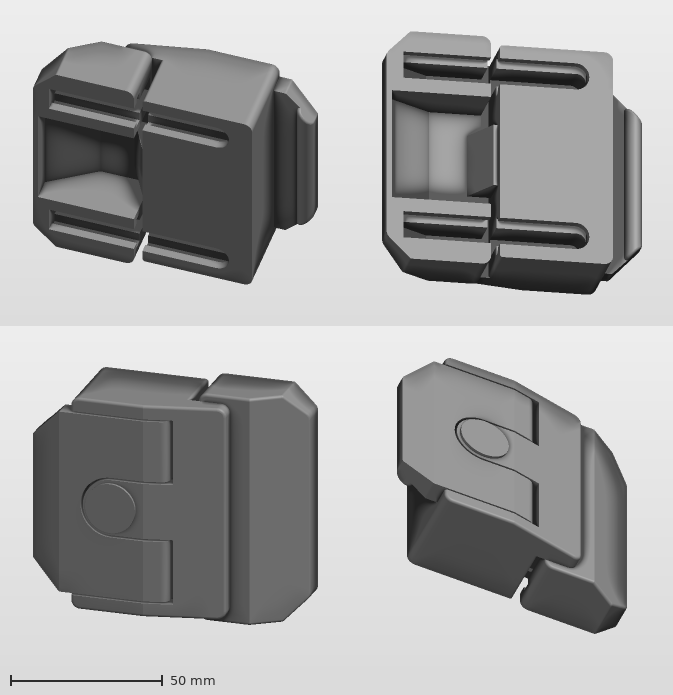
import cadquery as cq
import math


EDGE_RADIUS = 1.0
CORNER_RADIUS = 3.0

PICK_REACH = 0.1
FACES_BACK = 0.1

KEEPER_LENGTH = 35.0
KEEPER_HEIGHT = 80.0
KEEPER_DEPTH = 20.0
KEEPER_LEFT_DEPTH = 8.5
KEEPER_RIDGE_X = 17.3
KEEPER_CORNER_CUT = 8.0

WINDOW_LEFT = 1.8
WINDOW_HEIGHT = 37.6
WINDOW_FLOOR_WALL = 2.2
WINDOW_SLOPE_WALL = 2.0

SLOT_OFFSET = 28.1
SLOT_LEFT = 5.6
SLOT_END = 68.0
MOUTH_WIDTH = 9.2
CAVITY_WIDTH = 13.0
CAVITY_START_DEPTH = 3.0
CAVITY_END_DEPTH = 6.0
NARROW_WIDTH = 6.3
SLOT_FLOOR_WALL = 3.0
SLOT_SLOPE_WALL = 2.0

HOUSING_FRONT_X = 38.0
HOUSING_END_X = 76.0
HOUSING_HEIGHT = 74.5
HOUSING_DEPTH = 30.0
OVERHANG_LEFT = 24.0
OVERHANG_LEFT_DEPTH = 24.5
HOUSING_RIDGE_X = 50.9

BUTTON_X = 62.0
BUTTON_RADIUS = 8.6
BUTTON_RISE = 1.0
ISLAND_RADIUS = 9.7
ISLAND_CLEARANCE = 0.8

SLIDER_LEFT = 42.8
SLIDER_END = 90.0
SLIDER_HEIGHT = 63.6
SLIDER_THICKNESS = 6.9
SLIDER_LEFT_RADIUS = 3.0
PULL_TAPER_X = 80.0
PULL_END_DROP = 3.0
LIP_RADIUS = 3.0
LIP_EDGE_RADIUS = 0.8
POCKET_LEFT = 41.1
POCKET_CLEARANCE = 0.7

BOLT_HEIGHT = 21.25
BOLT_LEFT = 30.0
BOLT_BEVEL_END = 36.6
BOLT_FRONT = 4.0
BOLT_BACK = 16.0
BOLT_END = 50.1
CROSSBAR_HEIGHT = 31.5

SLIDER_FRONT = HOUSING_DEPTH - SLIDER_THICKNESS
POCKET_HEIGHT = SLIDER_HEIGHT + 2 * POCKET_CLEARANCE
KEEPER_SLOPE = (KEEPER_DEPTH - KEEPER_LEFT_DEPTH) / KEEPER_RIDGE_X
HOUSING_SLOPE = (HOUSING_DEPTH - OVERHANG_LEFT_DEPTH) / (HOUSING_RIDGE_X - OVERHANG_LEFT)


def box(x_range, y_range, height, z_center=0):
    """Block between X limits and Y limits, centred on one Z place."""
    size_x = x_range[1] - x_range[0]
    size_y = y_range[1] - y_range[0]
    block = cq.Workplane("XY").box(size_x, size_y, height, centered=(False, False, True))
    return block.translate((x_range[0], y_range[0], z_center))


def extrude_profile(points, height, z_center=0):
    """Solid of constant X-Y profile, centred on one Z place."""
    solid = cq.Workplane("XY").polyline(points).close().extrude(height / 2, both=True)
    return solid.translate((0, 0, z_center))


def round_ended_bar(x_range, y_range, width, z_center=0):
    """Bar along X whose right end is a half circle in the X-Z plane."""
    radius = width / 2
    arc_x = x_range[1] - radius
    return (
        cq.Workplane("XZ", origin=(0, y_range[1], z_center))
        .moveTo(x_range[0], -radius)
        .lineTo(arc_x, -radius)
        .threePointArc((x_range[1], 0), (arc_x, radius))
        .lineTo(x_range[0], radius)
        .close()
        .extrude(y_range[1] - y_range[0])
    )


def keeper_recess(left, floor_wall, slope_wall, height, z_center=0):
    """Recess open at the front and the right, leaving a wall under the back face and the slope."""
    floor_y = KEEPER_DEPTH - floor_wall
    slope_drop = slope_wall * math.hypot(1, KEEPER_SLOPE)
    left_y = KEEPER_LEFT_DEPTH + KEEPER_SLOPE * left - slope_drop
    ridge_x = left + (floor_y - left_y) / KEEPER_SLOPE
    points = [(left, 0), (left, left_y), (ridge_x, floor_y), (KEEPER_LENGTH, floor_y), (KEEPER_LENGTH, 0)]
    return extrude_profile(points, height, z_center)


def cut_slot_mouth_and_cavity(body):
    """Cut the front stages of both mounting slots: the open mouth and the wider cavity behind it."""
    for z in (-SLOT_OFFSET, SLOT_OFFSET):
        body = body.cut(round_ended_bar((SLOT_LEFT, SLOT_END), (0, CAVITY_START_DEPTH), MOUTH_WIDTH, z))
        body = body.cut(box((SLOT_LEFT, SLOT_END), (CAVITY_START_DEPTH, CAVITY_END_DEPTH), CAVITY_WIDTH, z))
    return body


def corner_cuts(outer_x, inner_x, height, depth):
    """Pair of wedges that cut the upper and lower corners at 45 degrees."""
    top = height / 2
    low = top - abs(inner_x - outer_x)
    upper = (
        cq.Workplane("XZ")
        .polyline([(outer_x, low), (outer_x, top), (inner_x, top)])
        .close()
        .extrude(-depth)
    )
    return upper.add(upper.mirror("XY")).combine()


def round_cross_edges(body, x, half_height, radius):
    """Round the two edges along Y that lie at one X place, above and below the middle."""
    edges = body.edges("|Y").filter(
        lambda edge: abs(edge.Center().x - x) < PICK_REACH
        and abs(abs(edge.Center().z) - half_height) < PICK_REACH
    )
    return edges.fillet(radius)


def round_back_rim(body, ridge_x):
    """Round the outer rim of the back face and the slope, leaving the ridge between them sharp."""
    back_faces = body.faces("#Z").filter(lambda face: face.normalAt().y > FACES_BACK)
    rim = back_faces.edges().filter(
        lambda edge: abs(edge.Center().x - ridge_x) > PICK_REACH or abs(edge.Center().z) > PICK_REACH
    )
    return rim.fillet(EDGE_RADIUS)


def make_keeper():
    """Hollow strike that catches the bolt, with cut left corners."""
    profile = [
        (0, 0),
        (0, KEEPER_LEFT_DEPTH),
        (KEEPER_RIDGE_X, KEEPER_DEPTH),
        (KEEPER_LENGTH, KEEPER_DEPTH),
        (KEEPER_LENGTH, 0),
    ]
    top = KEEPER_HEIGHT / 2
    keeper = extrude_profile(profile, KEEPER_HEIGHT)
    keeper = keeper.cut(corner_cuts(0, KEEPER_CORNER_CUT, KEEPER_HEIGHT, KEEPER_DEPTH))
    keeper = round_cross_edges(keeper, KEEPER_LENGTH, top, CORNER_RADIUS)
    keeper = round_cross_edges(keeper, 0, top - KEEPER_CORNER_CUT, CORNER_RADIUS)
    keeper = round_cross_edges(keeper, KEEPER_CORNER_CUT, top, EDGE_RADIUS)
    keeper = round_back_rim(keeper, KEEPER_RIDGE_X)

    keeper = keeper.cut(keeper_recess(WINDOW_LEFT, WINDOW_FLOOR_WALL, WINDOW_SLOPE_WALL, WINDOW_HEIGHT))
    for z in (-SLOT_OFFSET, SLOT_OFFSET):
        keeper = keeper.cut(keeper_recess(SLOT_LEFT, SLOT_FLOOR_WALL, SLOT_SLOPE_WALL, NARROW_WIDTH, z))
    return cut_slot_mouth_and_cavity(keeper)


def slider_plate():
    """Plate that lies flush in the back of the housing and ends in a tapered pull."""
    left_y = HOUSING_DEPTH - HOUSING_SLOPE * (HOUSING_RIDGE_X - SLIDER_LEFT)
    profile = [
        (SLIDER_LEFT, SLIDER_FRONT),
        (SLIDER_LEFT, left_y),
        (HOUSING_RIDGE_X, HOUSING_DEPTH),
        (PULL_TAPER_X, HOUSING_DEPTH),
        (SLIDER_END, HOUSING_DEPTH - PULL_END_DROP),
        (SLIDER_END, SLIDER_FRONT),
    ]
    plate = extrude_profile(profile, SLIDER_HEIGHT)
    return plate.faces("<X").edges(">Y").fillet(SLIDER_LEFT_RADIUS)


def island(radius):
    """Round-ended bar around the button axis, as deep as the slider."""
    return round_ended_bar((0, BUTTON_X + radius), (SLIDER_FRONT, HOUSING_DEPTH), 2 * radius)


def bolt():
    """Bevelled tongue and the crossbar behind it, which reaches back to the slider plate."""
    profile = [
        (BOLT_LEFT, BOLT_BACK),
        (BOLT_BEVEL_END, BOLT_FRONT),
        (BOLT_END, BOLT_FRONT),
        (BOLT_END, BOLT_BACK),
    ]
    tongue = extrude_profile(profile, BOLT_HEIGHT)
    crossbar = box((SLIDER_LEFT, BOLT_END), (BOLT_BACK, SLIDER_FRONT), CROSSBAR_HEIGHT)
    return tongue.union(crossbar)


def pull_lip():
    """Half-round finger lip in front of the pull end, with its two ends cut off and rounded."""
    lip_x = SLIDER_END - LIP_RADIUS
    lip_left = SLIDER_END - 2 * LIP_RADIUS
    upright = (
        cq.Workplane("XY", origin=(0, 0, -SLIDER_HEIGHT / 2))
        .moveTo(lip_left, HOUSING_DEPTH)
        .lineTo(lip_left, SLIDER_FRONT)
        .threePointArc((lip_x, SLIDER_FRONT - LIP_RADIUS), (SLIDER_END, SLIDER_FRONT))
        .lineTo(SLIDER_END, HOUSING_DEPTH)
        .close()
        .extrude(SLIDER_HEIGHT)
    )
    upright = upright.cut(corner_cuts(SLIDER_END, PULL_TAPER_X, SLIDER_HEIGHT, HOUSING_DEPTH))
    end_rims = upright.edges("not(|Z or >Y)")
    upright = end_rims.fillet(LIP_EDGE_RADIUS)
    return upright.intersect(box((0, SLIDER_END), (0, SLIDER_FRONT), SLIDER_HEIGHT))


def make_slider():
    """Sliding plate with its pull lip and bolt as one body."""
    top = SLIDER_HEIGHT / 2
    pull_cut = SLIDER_END - PULL_TAPER_X
    slider = slider_plate().cut(corner_cuts(SLIDER_END, PULL_TAPER_X, SLIDER_HEIGHT, HOUSING_DEPTH))
    slider = round_cross_edges(slider, PULL_TAPER_X, top, EDGE_RADIUS)
    slider = round_cross_edges(slider, SLIDER_END, top - pull_cut, LIP_EDGE_RADIUS)
    slider = slider.cut(island(ISLAND_RADIUS + ISLAND_CLEARANCE))
    return slider.union(pull_lip()).union(bolt())


def make_housing():
    """Main block that overhangs the keeper, with the slider pocket and the lock button."""
    profile = [
        (OVERHANG_LEFT, KEEPER_DEPTH),
        (OVERHANG_LEFT, OVERHANG_LEFT_DEPTH),
        (HOUSING_RIDGE_X, HOUSING_DEPTH),
        (HOUSING_END_X, HOUSING_DEPTH),
        (HOUSING_END_X, 0),
        (HOUSING_FRONT_X, 0),
        (HOUSING_FRONT_X, KEEPER_DEPTH),
    ]
    top = HOUSING_HEIGHT / 2
    housing = extrude_profile(profile, HOUSING_HEIGHT)
    housing = round_cross_edges(housing, OVERHANG_LEFT, top, CORNER_RADIUS)
    housing = round_cross_edges(housing, HOUSING_END_X, top, CORNER_RADIUS)
    housing = round_cross_edges(housing, HOUSING_FRONT_X, top, EDGE_RADIUS)
    housing = round_back_rim(housing, HOUSING_RIDGE_X)
    housing = cut_slot_mouth_and_cavity(housing)
    narrow_depth = (0, KEEPER_DEPTH - SLOT_FLOOR_WALL)
    for z in (-SLOT_OFFSET, SLOT_OFFSET):
        housing = housing.cut(round_ended_bar((SLOT_LEFT, SLOT_END), narrow_depth, NARROW_WIDTH, z))

    pocket = box((POCKET_LEFT, HOUSING_END_X), (SLIDER_FRONT, HOUSING_DEPTH), POCKET_HEIGHT)
    housing = housing.cut(pocket.cut(island(ISLAND_RADIUS))).cut(bolt())
    button = cq.Workplane("XZ", origin=(BUTTON_X, HOUSING_DEPTH, 0)).circle(BUTTON_RADIUS)
    return housing.union(button.extrude(-BUTTON_RISE))


keeper = make_keeper()
housing = make_housing()
slider = make_slider()
result = cq.Compound.makeCompound([body.solids().val() for body in (keeper, housing, slider)])